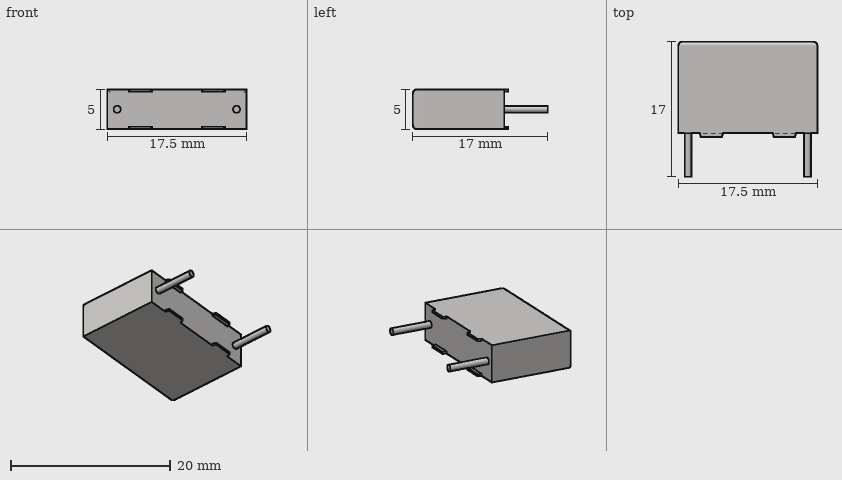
import cadquery as cq


case_width = 17.5
case_depth = 11.5
case_height = 5.0
end_radius = 0.5

tab_spacing = 9.17
tab_root_width = 2.95
tab_tip_width = 2.66
tab_length = 0.5
tab_thickness = 0.3

lead_spacing = 15.0
lead_diameter = 0.9
lead_length = 5.5


def make_tab(center_x, bottom_z):
    """Tapered standoff tab that projects toward -Y from the lead face."""
    return (
        cq.Workplane("XY", origin=(center_x, 0, bottom_z))
        .moveTo(-tab_root_width / 2, 0)
        .lineTo(-tab_tip_width / 2, -tab_length)
        .lineTo(tab_tip_width / 2, -tab_length)
        .lineTo(tab_root_width / 2, 0)
        .close()
        .extrude(tab_thickness)
    )


def make_case():
    """Box rounded around its +Y end, with four standoff tabs on the lead face."""
    case = cq.Workplane("XY").box(case_width, case_depth, case_height, centered=(True, False, True))
    case = case.faces(">Y").edges().fillet(end_radius)
    for center_x in (-tab_spacing / 2, tab_spacing / 2):
        for bottom_z in (-case_height / 2, case_height / 2 - tab_thickness):
            case = case.union(make_tab(center_x, bottom_z))
    return case


def make_lead(center_x):
    """Straight round wire from the lead face toward -Y."""
    return (
        cq.Workplane("XZ", origin=(center_x, 0, 0))
        .circle(lead_diameter / 2)
        .extrude(lead_length)
    )


case = make_case()
leads = [make_lead(center_x) for center_x in (-lead_spacing / 2, lead_spacing / 2)]

result = cq.Compound.makeCompound([case.val(), *[lead.val() for lead in leads]])